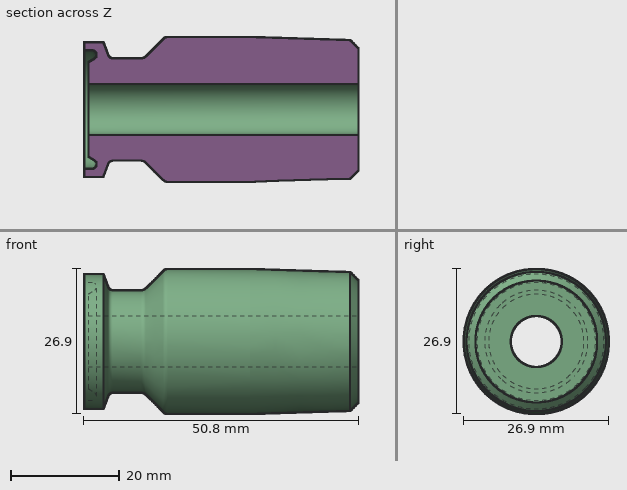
import cadquery as cq
import math

LENGTH = 50.8
BORE_RADIUS = 9.4 / 2

FLANGE_RADIUS = 25.0 / 2
FLANGE_RIM_WIDTH = 3.6
FLANGE_BACK_ANGLE = math.radians(20)

NECK_RADIUS = 19.05 / 2
NECK_START = 5.3
NECK_END = 10.6
FLANGE_FILLET = 0.8

BODY_RADIUS = 26.9 / 2
BODY_END = 30.8
SHOULDER_ANGLE = math.radians(45)
SHOULDER_FILLET = 1.1

TAPER_PER_LENGTH = 1 / 16
END_CHAMFER_LENGTH = 1.6
END_FACE_RADIUS = 22.55 / 2

RECESS_RADIUS = 21.9 / 2
RECESS_WALL_DEPTH = 1.45
SEAT_DEPTH = 0.8
SEAT_RADIUS = 17.6 / 2
GROOVE_RADIUS = 0.8


def arc_point(center, radius, angle):
    """Point on a circle in the (axial, radial) plane."""
    return (center[0] + radius * math.cos(angle), center[1] + radius * math.sin(angle))


def make_body():
    """Solid of revolution of the outer outline."""
    flange_center = (NECK_START, NECK_RADIUS + FLANGE_FILLET)
    flange_fillet_start_angle = math.pi + FLANGE_BACK_ANGLE
    flange_fillet_start = arc_point(flange_center, FLANGE_FILLET, flange_fillet_start_angle)
    flange_fillet_middle = arc_point(
        flange_center, FLANGE_FILLET, (flange_fillet_start_angle + 1.5 * math.pi) / 2
    )

    lower_center = (NECK_END, NECK_RADIUS + SHOULDER_FILLET)
    lower_middle = arc_point(lower_center, SHOULDER_FILLET, -math.pi / 2 + SHOULDER_ANGLE / 2)
    lower_end = arc_point(lower_center, SHOULDER_FILLET, -math.pi / 2 + SHOULDER_ANGLE)

    upper_start_radius = BODY_RADIUS - SHOULDER_FILLET * (1 - math.cos(SHOULDER_ANGLE))
    upper_start_x = lower_end[0] + (upper_start_radius - lower_end[1]) / math.tan(SHOULDER_ANGLE)
    body_start = upper_start_x + SHOULDER_FILLET * math.sin(SHOULDER_ANGLE)
    upper_center = (body_start, BODY_RADIUS - SHOULDER_FILLET)
    upper_middle = arc_point(upper_center, SHOULDER_FILLET, math.pi / 2 + SHOULDER_ANGLE / 2)

    chamfer_start = LENGTH - END_CHAMFER_LENGTH
    taper_end_radius = BODY_RADIUS - (chamfer_start - BODY_END) * TAPER_PER_LENGTH / 2

    outline = (
        cq.Workplane("XY")
        .moveTo(0, 0)
        .lineTo(0, FLANGE_RADIUS)
        .lineTo(FLANGE_RIM_WIDTH, FLANGE_RADIUS)
        .lineTo(*flange_fillet_start)
        .threePointArc(flange_fillet_middle, (NECK_START, NECK_RADIUS))
        .lineTo(NECK_END, NECK_RADIUS)
        .threePointArc(lower_middle, lower_end)
        .lineTo(upper_start_x, upper_start_radius)
        .threePointArc(upper_middle, (body_start, BODY_RADIUS))
        .lineTo(BODY_END, BODY_RADIUS)
        .lineTo(chamfer_start, taper_end_radius)
        .lineTo(LENGTH, END_FACE_RADIUS)
        .lineTo(LENGTH, 0)
        .close()
    )
    return outline.revolve(360, (0, 0, 0), (1, 0, 0))


def make_recess():
    """Gasket recess: a sunk seat with a round-bottomed groove around it."""
    groove_center = (RECESS_WALL_DEPTH, RECESS_RADIUS - GROOVE_RADIUS)
    seat_edge = (SEAT_DEPTH, SEAT_RADIUS)

    axial = groove_center[0] - seat_edge[0]
    radial = groove_center[1] - seat_edge[1]
    reach = math.hypot(axial, radial)
    tangent_angle = math.atan2(-radial, -axial) + math.acos(GROOVE_RADIUS / reach)

    outline = (
        cq.Workplane("XY")
        .moveTo(0, 0)
        .lineTo(0, RECESS_RADIUS)
        .lineTo(RECESS_WALL_DEPTH, RECESS_RADIUS)
        .threePointArc(
            arc_point(groove_center, GROOVE_RADIUS, (tangent_angle + math.pi / 2) / 2),
            arc_point(groove_center, GROOVE_RADIUS, tangent_angle),
        )
        .lineTo(*seat_edge)
        .lineTo(SEAT_DEPTH, 0)
        .close()
    )
    return outline.revolve(360, (0, 0, 0), (1, 0, 0))


bore = cq.Workplane("YZ").circle(BORE_RADIUS).extrude(LENGTH)

result = make_body().cut(make_recess()).cut(bore)